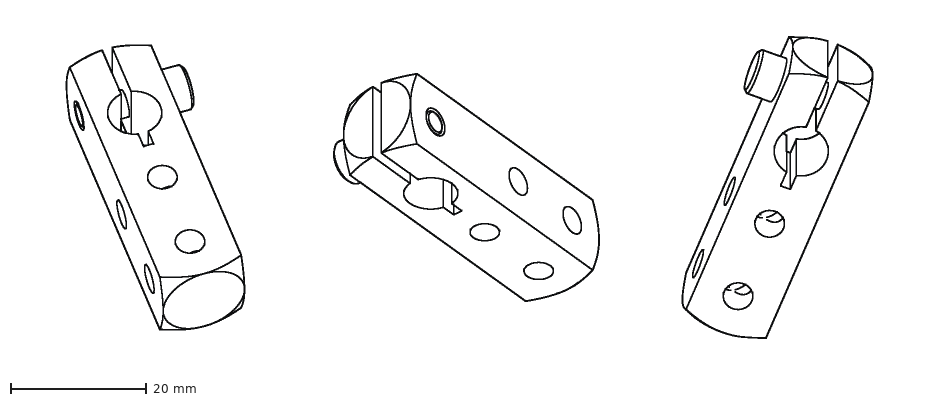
import cadquery as cq
import math

bar_length = 44.45
bar_side = 12.7
end_cone_angle = 30.0

bore_x = 12.65
bore_diameter = 8.0
slot_width = 1.55
slot_end_x = 19.02

hole_diameter = 4.35
hole_spacing = 12.7
plain_hole_xs = [bore_x + n * hole_spacing for n in (1, 2)]

screw_x = 5.85
shank_diameter = 4.2
tip_chamfer = 0.5
head_diameter = 6.85
head_height = 4.2
head_chamfer = 0.45

countersink_mouth_diameter = 4.45
countersink_floor_diameter = 3.7

half_side = bar_side / 2


def end_turned_envelope():
    """Round envelope whose conical ends cut the bar's corners back."""
    corner_radius = half_side * math.sqrt(2)
    setback = (corner_radius - half_side) * math.tan(math.radians(end_cone_angle))
    return (
        cq.Workplane("XY")
        .polyline([
            (0, 0),
            (0, half_side),
            (setback, corner_radius),
            (bar_length - setback, corner_radius),
            (bar_length, half_side),
            (bar_length, 0),
        ])
        .close()
        .revolve(360, (0, 0, 0), (1, 0, 0))
    )


def vertical_cylinder(x, diameter):
    return cq.Workplane("XY").center(x, 0).circle(diameter / 2).extrude(half_side, both=True)


def cross_cylinder(x, diameter):
    return cq.Workplane("XZ").center(x, 0).circle(diameter / 2).extrude(half_side, both=True)


def screw_countersink():
    """Cone that narrows from the -Y face down to the chamfer of the screw tip."""
    tip_diameter = shank_diameter - 2 * tip_chamfer
    depth = (countersink_floor_diameter - tip_diameter) / 2
    return (
        cq.Workplane("XZ", origin=(screw_x, -half_side, 0))
        .circle(countersink_mouth_diameter / 2)
        .workplane(offset=-depth)
        .circle(countersink_floor_diameter / 2)
        .loft(ruled=True)
    )


def make_bar(screw):
    bar = cq.Workplane("XY").box(bar_length, bar_side, bar_side, centered=(False, True, True))
    bar = bar.intersect(end_turned_envelope())
    bar = bar.cut(vertical_cylinder(bore_x, bore_diameter))
    slot = cq.Workplane("XY").box(slot_end_x, slot_width, bar_side, centered=(False, True, True))
    bar = bar.cut(slot)
    for x in plain_hole_xs:
        bar = bar.cut(vertical_cylinder(x, hole_diameter))
        bar = bar.cut(cross_cylinder(x, hole_diameter))
    return bar.cut(screw_countersink()).cut(screw)


def make_screw():
    shank = cross_cylinder(screw_x, shank_diameter).faces("<Y").chamfer(tip_chamfer)
    head = (
        cq.Workplane("XZ", origin=(screw_x, half_side, 0))
        .circle(head_diameter / 2)
        .extrude(-head_height)
        .faces(">Y")
        .chamfer(head_chamfer)
    )
    return shank.union(head)


screw = make_screw()
bar = make_bar(screw)
result = cq.Compound.makeCompound([bar.solids().val(), screw.solids().val()])